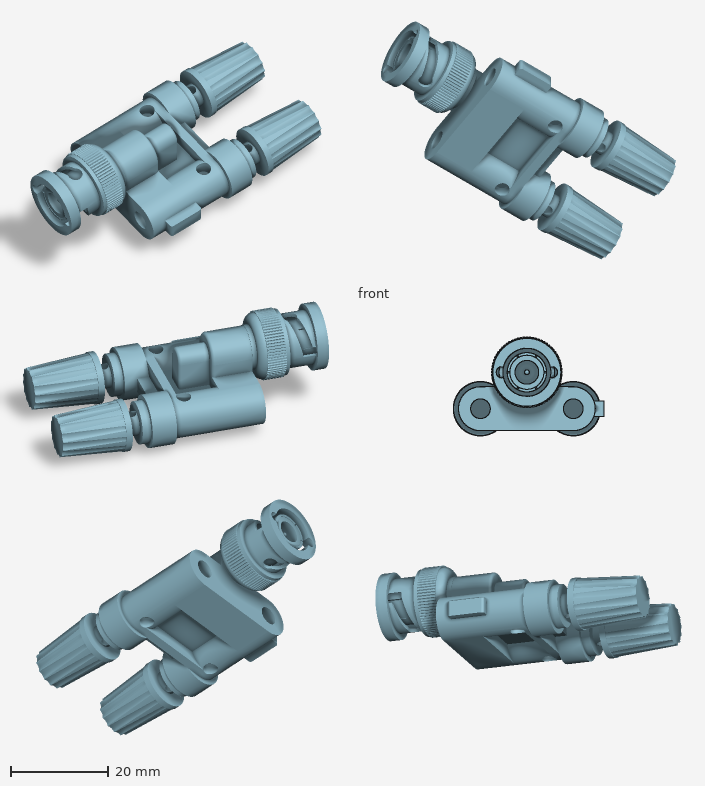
import cadquery as cq
import math

POST_SPACING = 19.05
POST_X = POST_SPACING / 2
CONNECTOR_Z = 7.5

HOUSING_FRONT_Y = 15.8
BLOCK_BACK_Y = 24.4
SPIGOT_BACK_Y = 30.9
BAR_FRONT_Y = 33.35
COLLAR_FRONT_Y = 35.25
WEB_BACK_Y = 37.8
COLLAR_BACK_Y = 40.5
CAP_BACK_Y = 42.3
KNOB_FRONT_Y = 44.75
FLUTES_FRONT_Y = 46.05
KNOB_BACK_Y = 59.35

POST_RADIUS = 4.5
COLLAR_RADIUS = 5.6
STUD_RADIUS = 2.55
WIRE_HOLE_RADIUS = 1.05
WIRE_HOLE_Y = 43.45
SOCKET_RADIUS = 2.0
SOCKET_DEPTH = 11.9
SIDE_HOLE_RADIUS = 1.55
SIDE_HOLE_Y = 32.1
SIDE_HOLE_DEPTH = 2.95

KNOB_FLANGE_RADIUS = 5.45
KNOB_BASE_RADIUS = 5.3
KNOB_TIP_RADIUS = 4.4
FLUTE_COUNT = 14
FLUTE_RADIUS = 1.5
FLUTE_BASE_DEPTH = 0.1
FLUTE_TIP_DEPTH = 0.4

WEB_THICKNESS = 3.2
TAB_REACH = 6.35
TAB_FRONT_Y = 19.0
TAB_LENGTH = 7.9
TAB_FILLET = 0.6
BOSS_RADIUS = 4.65
SPIGOT_RADIUS = 2.55
BOSS_FILLET = 0.6

FLANGE_DIAMETER = 13.95
FLANGE_RADIUS = FLANGE_DIAMETER / 2
FLANGE_DEPTH = 2.45
BARREL_RADIUS = 5.7
SHOULDER_DEPTH = 8.3
KNURL_START = 9.15
KNURL_END = 13.2
KNURL_RADIUS = 7.25
KNURL_COUNT = 72
KNURL_GROOVE_DEPTH = 0.3
KNURL_LAND_SHARE = 0.5
NUT_BACK_DEPTH = 14.8
NUT_FILLET = NUT_BACK_DEPTH - KNURL_END
NECK_RADIUS = 4.75
BORE_RADIUS = 4.9
SLEEVE_RADIUS = 4.05
SLEEVE_INNER_RADIUS = 3.5
SLEEVE_TIP_DEPTH = 0.9
INSULATOR_TIP_DEPTH = 1.0
INSULATOR_BORE_RADIUS = 2.45
INSULATOR_BORE_DEPTH = 7.1
PIN_RADIUS = 0.505
PIN_TIP_DEPTH = 1.85
SLIT_COUNT = 6
SLIT_WIDTH = 0.3
SLIT_END_DEPTH = 5.0

ENTRY_RADIUS = 1.1
ENTRY_CENTRE_RADIUS = 5.15
ENTRY_FILLET = 0.35
RAMP_WIDTH = 2.45
RAMP_START_DEPTH = 4.05
RAMP_END_DEPTH = 6.25
DETENT_RADIUS = 1.5
SLOT_OVERCUT = 0.6


def cylinder_y(radius, start_y, end_y, x=0.0):
    """Cylinder along +Y between two stations."""
    return cq.Workplane(cq.Solid.makeCylinder(
        radius, end_y - start_y, cq.Vector(x, start_y, 0), cq.Vector(0, 1, 0)))


def block(x_range, y_range, z_range):
    """Box between two limits on each axis."""
    limits = (x_range, y_range, z_range)
    sizes = [high - low for low, high in limits]
    lows = [low for low, high in limits]
    return cq.Workplane().box(*sizes, centered=False).translate(tuple(lows))


def knob_grip():
    """Tapered grip on the Y axis whose flutes run out towards the knob flange."""
    length = KNOB_BACK_Y - FLUTES_FRONT_Y
    grip = cq.Workplane(cq.Solid.makeCone(
        KNOB_BASE_RADIUS, KNOB_TIP_RADIUS, length,
        cq.Vector(0, FLUTES_FRONT_Y, 0), cq.Vector(0, 1, 0)))
    base_centre = KNOB_BASE_RADIUS - FLUTE_BASE_DEPTH + FLUTE_RADIUS
    tip_centre = KNOB_TIP_RADIUS - FLUTE_TIP_DEPTH + FLUTE_RADIUS
    axis = cq.Vector(0, 1, 0)
    base_circle = cq.Wire.makeCircle(FLUTE_RADIUS, cq.Vector(0, FLUTES_FRONT_Y, base_centre), axis)
    tip_circle = cq.Wire.makeCircle(FLUTE_RADIUS, cq.Vector(0, KNOB_BACK_Y, tip_centre), axis)
    flute = cq.Workplane(cq.Solid.makeLoft([base_circle, tip_circle]))
    pitch = 360 / FLUTE_COUNT
    for index in range(FLUTE_COUNT):
        grip = grip.cut(flute.rotate((0, 0, 0), (0, 1, 0), (index + 0.5) * pitch))
    return grip


def binding_post(x):
    """Post with collar, cap, stud and knob."""
    steps = (
        (POST_RADIUS, HOUSING_FRONT_Y, CAP_BACK_Y),
        (COLLAR_RADIUS, COLLAR_FRONT_Y, COLLAR_BACK_Y),
        (STUD_RADIUS, CAP_BACK_Y, KNOB_FRONT_Y),
        (KNOB_FLANGE_RADIUS, KNOB_FRONT_Y, FLUTES_FRONT_Y),
    )
    post = knob_grip()
    for radius, start_y, end_y in steps:
        post = post.union(cylinder_y(radius, start_y, end_y))
    return post.translate((x, 0, 0))


def cross_hole(radius, x, y):
    """Cutter along Z, longer than a post is thick."""
    return cq.Workplane().center(x, y).circle(radius).extrude(2 * POST_RADIUS, both=True)


def post_holes(x):
    """Plug socket, wire hole through the stud and the two opposite side holes of one post."""
    socket = cylinder_y(SOCKET_RADIUS, HOUSING_FRONT_Y, HOUSING_FRONT_Y + SOCKET_DEPTH, x)
    wire_hole = cross_hole(WIRE_HOLE_RADIUS, x, WIRE_HOLE_Y)
    side_holes = cross_hole(SIDE_HOLE_RADIUS, x, SIDE_HOLE_Y)
    core_half = POST_RADIUS - SIDE_HOLE_DEPTH
    core = block(
        (x - POST_RADIUS, x + POST_RADIUS),
        (HOUSING_FRONT_Y, COLLAR_FRONT_Y),
        (-core_half, core_half),
    )
    return socket.union(wire_hole).union(side_holes.cut(core))


def boss_step(radius, back_y):
    """Round-topped boss on the connector axis, flat-sided down to the web, rounded at its back."""
    outline = (
        cq.Workplane("XZ", origin=(0, HOUSING_FRONT_Y, 0))
        .moveTo(-radius, 0)
        .lineTo(-radius, CONNECTOR_Z)
        .threePointArc((0, CONNECTOR_Z + radius), (radius, CONNECTOR_Z))
        .lineTo(radius, 0)
        .close()
    )
    step = outline.extrude(HOUSING_FRONT_Y - back_y)
    back_edges = step.faces(">Y").edges("not <Z")
    return back_edges.fillet(BOSS_FILLET)


def make_housing():
    """Adapter body with its two binding posts, web, tab and connector boss."""
    half_web = WEB_THICKNESS / 2
    across = (-POST_X, POST_X)
    full_height = (-POST_RADIUS, POST_RADIUS)
    housing = block(across, (HOUSING_FRONT_Y, BLOCK_BACK_Y), full_height)
    housing = housing.union(block(across, (BAR_FRONT_Y, COLLAR_FRONT_Y), full_height))
    housing = housing.union(block(across, (BLOCK_BACK_Y, WEB_BACK_Y), (-half_web, half_web)))

    for x in across:
        housing = housing.union(binding_post(x))

    tab = block((POST_X, POST_X + TAB_REACH), (TAB_FRONT_Y, TAB_FRONT_Y + TAB_LENGTH), (-half_web, half_web))
    housing = housing.union(tab.edges("|Z and >X").fillet(TAB_FILLET))

    housing = housing.union(boss_step(BOSS_RADIUS, BLOCK_BACK_Y))
    housing = housing.union(boss_step(SPIGOT_RADIUS, SPIGOT_BACK_Y))

    for x in across:
        housing = housing.cut(post_holes(x))
    return housing


def disc(radius, start, end):
    """Cylinder along the connector axis between two depths."""
    return cq.Workplane("XY", origin=(0, 0, start)).circle(radius).extrude(end - start)


def coupling_nut():
    """Outside of the connector: flange, barrel, knurled nut and neck."""
    nut = disc(FLANGE_RADIUS, SHOULDER_DEPTH, NUT_BACK_DEPTH).faces(">Z").edges().fillet(NUT_FILLET)
    nut = nut.union(disc(BARREL_RADIUS, FLANGE_DEPTH, SHOULDER_DEPTH))
    nut = nut.union(disc(FLANGE_RADIUS, 0, FLANGE_DEPTH))
    nut = nut.union(disc(NECK_RADIUS, NUT_BACK_DEPTH, HOUSING_FRONT_Y))
    return nut.union(knurl_ring())


def knurl_ring():
    """Ring with V-shaped grooves between narrow lands."""
    root_radius = KNURL_RADIUS - KNURL_GROOVE_DEPTH
    pitch = 2 * math.pi / KNURL_COUNT
    half_land = KNURL_LAND_SHARE / 2
    tooth = ((KNURL_RADIUS, -half_land), (KNURL_RADIUS, half_land), (root_radius, 0.5))
    points = []
    for index in range(KNURL_COUNT):
        for radius, offset in tooth:
            angle = pitch * (index + offset)
            points.append((radius * math.cos(angle), radius * math.sin(angle)))
    outline = cq.Workplane("XY", origin=(0, 0, KNURL_START)).polyline(points).close()
    return outline.extrude(KNURL_END - KNURL_START)


def bayonet_slot():
    """Entry groove, helical quarter-turn ramp and round detent, starting on the +X side."""
    entry = disc(ENTRY_RADIUS, 0, RAMP_START_DEPTH + RAMP_WIDTH / 2)
    entry = entry.faces(">Z").edges().fillet(ENTRY_FILLET).translate((ENTRY_CENTRE_RADIUS, 0, 0))

    slot_inner = (SLEEVE_RADIUS + BORE_RADIUS) / 2
    slot_outer = BARREL_RADIUS + SLOT_OVERCUT
    rise = RAMP_END_DEPTH - RAMP_START_DEPTH
    helix = cq.Workplane(cq.Wire.makeHelix(4 * rise, rise, BARREL_RADIUS))
    ramp = (
        cq.Workplane("XZ")
        .center((slot_inner + slot_outer) / 2, 0)
        .rect(slot_outer - slot_inner, RAMP_WIDTH)
        .sweep(helix, isFrenet=True)
        .translate((0, 0, RAMP_START_DEPTH))
    )

    detent = (
        cq.Workplane("XZ", origin=(0, slot_outer, RAMP_END_DEPTH))
        .circle(DETENT_RADIUS)
        .extrude(slot_outer - slot_inner)
    )
    return entry.union(ramp).union(detent)


def contact_core():
    """Slit contact sleeve around the insulator and its centre pin."""
    sleeve = disc(SLEEVE_RADIUS, SLEEVE_TIP_DEPTH, SHOULDER_DEPTH)
    sleeve = sleeve.cut(disc(SLEEVE_INNER_RADIUS, SLEEVE_TIP_DEPTH, SHOULDER_DEPTH))
    slit = (
        cq.Workplane("XY", origin=(0, 0, SLEEVE_TIP_DEPTH))
        .rect(SLEEVE_RADIUS, SLIT_WIDTH)
        .extrude(SLIT_END_DEPTH - SLEEVE_TIP_DEPTH)
        .translate((SLEEVE_RADIUS, 0, 0))
    )
    for index in range(SLIT_COUNT):
        sleeve = sleeve.cut(slit.rotate((0, 0, 0), (0, 0, 1), index * 360 / SLIT_COUNT))

    insulator = disc(SLEEVE_INNER_RADIUS, INSULATOR_TIP_DEPTH, SHOULDER_DEPTH)
    insulator = insulator.cut(disc(INSULATOR_BORE_RADIUS, INSULATOR_TIP_DEPTH, INSULATOR_BORE_DEPTH))

    pin = disc(PIN_RADIUS, PIN_TIP_DEPTH + PIN_RADIUS, INSULATOR_BORE_DEPTH)
    pin = pin.union(cq.Workplane().sphere(PIN_RADIUS).translate((0, 0, PIN_TIP_DEPTH + PIN_RADIUS)))
    return sleeve.union(insulator).union(pin)


def make_connector():
    """Bayonet connector seated against the front of the housing."""
    connector = coupling_nut().cut(disc(BORE_RADIUS, 0, SHOULDER_DEPTH))
    slot = bayonet_slot()
    for angle in (0, 180):
        connector = connector.cut(slot.rotate((0, 0, 0), (0, 0, 1), angle))
    connector = connector.union(contact_core())
    return connector.rotate((0, 0, 0), (1, 0, 0), -90).translate((0, 0, CONNECTOR_Z))


housing = make_housing()
connector = make_connector()

result = cq.Compound.makeCompound([housing.val(), connector.val()])